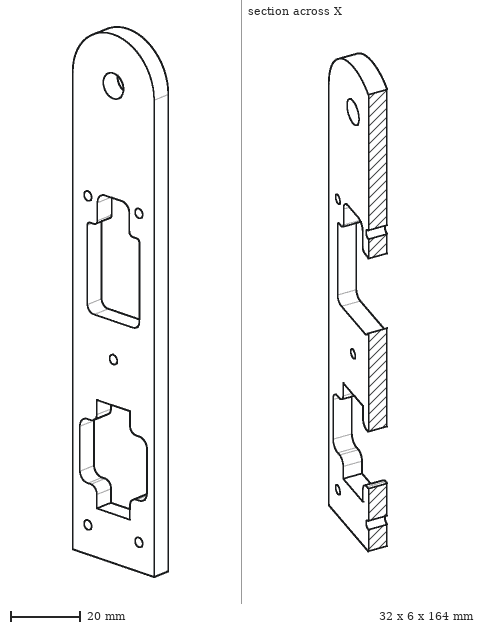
import cadquery as cq

height = 164.0
width = 32.0
thickness = 6.0
end_radius = width / 2
end_center_z = height - end_radius

pivot_diameter = 7.9
screw_diameter = 3.0
screw_x = 10.0
upper_screw_z = 111.2
lower_screw_z = 9.2
middle_screw_z = 63.1

upper_body_width = 20.3
upper_neck_width = 12.5
upper_bottom_z = 75.1
upper_shoulder_z = 103.2
upper_top_z = 113.2
upper_bottom_radius = 2.5
upper_shoulder_radius = 1.0
upper_inner_radius = 1.5
upper_top_radius = 3.0

lower_body_width = 26.2
lower_neck_width = 13.0
lower_bottom_z = 15.3
lower_low_shoulder_z = 22.1
lower_high_shoulder_z = 42.0
lower_top_z = 48.9
lower_shoulder_radius = 3.0
lower_inner_radius = 2.5


def block(block_width, bottom_z, top_z):
    """Box through the plate thickness, centered in X."""
    return (
        cq.Workplane("XY")
        .box(block_width, thickness, top_z - bottom_z, centered=(True, False, False))
        .translate((0, 0, bottom_z))
    )


def round_corners(body, half_width, z, radius):
    """Fillet the pair of through-thickness edges at X = +/- half_width and height z."""
    tolerance = 0.02
    for side in (-1, 1):
        x = side * half_width
        near = (x - tolerance, -tolerance, z - tolerance)
        far = (x + tolerance, thickness + tolerance, z + tolerance)
        corner = cq.selectors.BoxSelector(near, far)
        body = body.edges("|Y").edges(corner).fillet(radius)
    return body


def make_plate():
    plate = block(width, 0, end_center_z)
    return plate.union(round_cutter(0, end_center_z, 2 * end_radius))


def round_cutter(x, z, diameter):
    """Cylinder along Y through the plate thickness."""
    return cq.Workplane("XZ").center(x, z).circle(diameter / 2).extrude(-thickness)


def upper_window():
    window = block(upper_body_width, upper_bottom_z, upper_shoulder_z)
    window = window.union(block(upper_neck_width, upper_bottom_z, upper_top_z))
    window = round_corners(window, upper_body_width / 2, upper_bottom_z, upper_bottom_radius)
    window = round_corners(window, upper_body_width / 2, upper_shoulder_z, upper_shoulder_radius)
    window = round_corners(window, upper_neck_width / 2, upper_shoulder_z, upper_inner_radius)
    return round_corners(window, upper_neck_width / 2, upper_top_z, upper_top_radius)


def lower_window():
    window = block(lower_body_width, lower_low_shoulder_z, lower_high_shoulder_z)
    window = window.union(block(lower_neck_width, lower_bottom_z, lower_top_z))
    for shoulder_z in (lower_low_shoulder_z, lower_high_shoulder_z):
        window = round_corners(window, lower_body_width / 2, shoulder_z, lower_shoulder_radius)
        window = round_corners(window, lower_neck_width / 2, shoulder_z, lower_inner_radius)
    return window


result = make_plate().cut(upper_window()).cut(lower_window())
result = result.cut(round_cutter(0, end_center_z, pivot_diameter))

screw_positions = [(0, middle_screw_z)]
for screw_z in (upper_screw_z, lower_screw_z):
    screw_positions += [(-screw_x, screw_z), (screw_x, screw_z)]
for x, z in screw_positions:
    result = result.cut(round_cutter(x, z, screw_diameter))